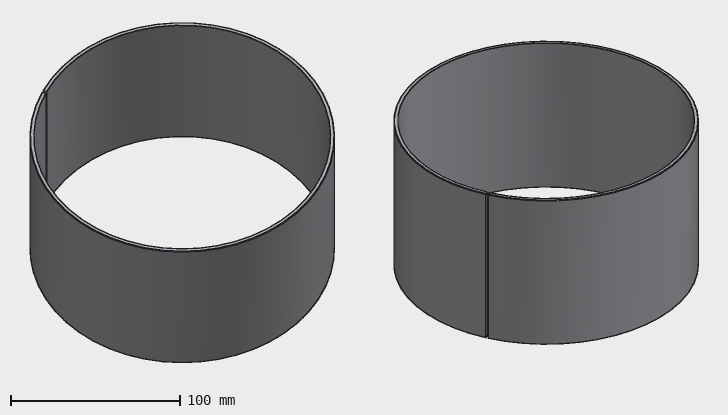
import cadquery as cq

outer_diameter = 180.0
wall_thickness = 2.5
height = 100.0
slit_angle = 1.0
outer_chamfer = 0.45
inner_chamfer = 0.2

outer_radius = outer_diameter / 2
inner_radius = outer_radius - wall_thickness


def make_wall_section():
    """Wall cross-section on the -X side, with all four rim corners chamfered."""
    return (
        cq.Workplane("XZ")
        .moveTo(-outer_radius, outer_chamfer)
        .lineTo(-outer_radius, height - outer_chamfer)
        .lineTo(-outer_radius + outer_chamfer, height)
        .lineTo(-inner_radius - inner_chamfer, height)
        .lineTo(-inner_radius, height - inner_chamfer)
        .lineTo(-inner_radius, inner_chamfer)
        .lineTo(-inner_radius - inner_chamfer, 0)
        .lineTo(-outer_radius + outer_chamfer, 0)
        .close()
    )


def make_split_sleeve():
    """Sweep the wall around Z from -X through -Y, stopping short to leave a full-height slit."""
    sweep_angle = 360 - slit_angle
    axis_start = (0, 0, 0)
    axis_end = (0, 1, 0)
    return make_wall_section().revolve(sweep_angle, axis_start, axis_end)


result = make_split_sleeve()